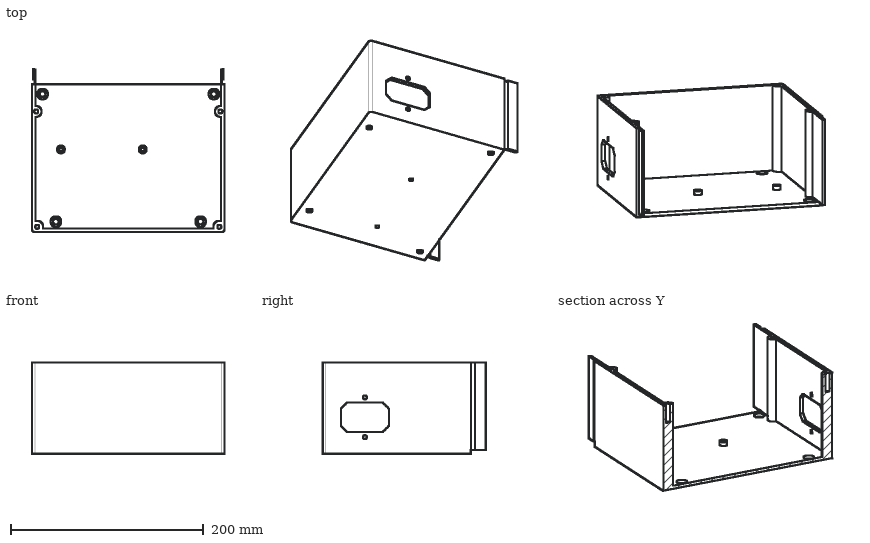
import cadquery as cq

length = 200.0
body_depth = 153.5
height = 95.0
wall = 4.0
floor_thickness = 4.0
corner_radius = 3.2

half_length = length / 2
inner_x = half_length - wall

tongue_length = 15.5
tongue_hook_length = 11.0
tongue_neck_thickness = 1.2
tongue_hook_thickness = 2.5
tongue_hook_slant = 0.5
tongue_base_overlap = 2.0

rear_post_diameter = 11.2
post_hole_diameter = 4.2
post_hole_depth = 20.0
front_post_diameter = 12.5
front_post_inset = 5.5
rear_post_inset = 4.5
rear_post_setback = 28.5
rear_post_y = body_depth - rear_post_setback

mount_hole_diameter = 6.0
countersink_diameter = 11.0
countersink_angle = 90.0
front_mount_inset = 25.0
front_mount_x = half_length - front_mount_inset
front_mount_y = 11.0
rear_mount_inset = 11.2
rear_mount_setback = 10.5
rear_mount_x = half_length - rear_mount_inset
rear_mount_y = body_depth - rear_mount_setback

standoff_diameter = 8.0
standoff_hole_diameter = 4.0
standoff_height = 4.0
standoff_xs = (-69.8, 15.0)
standoff_y = 85.8

socket_y = 43.8
socket_z = 38.0
socket_width = 50.0
socket_height = 30.5
socket_chamfer = 6.5
socket_screw_diameter = 4.0
socket_screw_spacing = 41.2


def make_block():
    """Solid outer form of the box, with rounded front corners."""
    return (
        cq.Workplane("XY")
        .box(length, body_depth, height, centered=(True, False, False))
        .edges("|Z and <Y")
        .fillet(corner_radius)
    )


def make_shell():
    cavity = (
        cq.Workplane("XY", origin=(0, wall, floor_thickness))
        .box(2 * inner_x, body_depth, height, centered=(True, False, False))
    )
    return make_block().cut(cavity)


def make_tongue(side):
    """Hooked tongue flush with the inner face of one side wall; side is -1 or +1."""
    neck_x = inner_x + tongue_neck_thickness
    hook_x = inner_x + tongue_hook_thickness
    tip_y = body_depth + tongue_length
    hook_y = tip_y - tongue_hook_length
    base_y = body_depth - tongue_base_overlap
    outline = [
        (inner_x, base_y),
        (neck_x, base_y),
        (neck_x, hook_y + tongue_hook_slant),
        (hook_x, hook_y),
        (hook_x, tip_y),
        (inner_x, tip_y - tongue_hook_slant),
    ]
    return (
        cq.Workplane("XY", origin=(0, 0, floor_thickness))
        .polyline([(side * x, y) for x, y in outline])
        .close()
        .extrude(height - floor_thickness)
    )


def add_posts(body, points, diameter):
    """Full-height posts, trimmed to the outside of the box, with blind screw holes."""
    posts = cq.Workplane("XY").pushPoints(points).circle(diameter / 2).extrude(height)
    holes = (
        cq.Workplane("XY", origin=(0, 0, height))
        .pushPoints(points)
        .circle(post_hole_diameter / 2)
        .extrude(-post_hole_depth)
    )
    return body.union(posts.intersect(make_block())).cut(holes)


def drill_mounting_holes(body):
    points = [
        (side * x, y)
        for side in (-1, 1)
        for x, y in ((front_mount_x, front_mount_y), (rear_mount_x, rear_mount_y))
    ]
    return (
        body.copyWorkplane(cq.Workplane("XY", origin=(0, 0, floor_thickness)))
        .pushPoints(points)
        .cskHole(mount_hole_diameter, countersink_diameter, countersink_angle)
    )


def add_standoffs(body):
    points = [(x, standoff_y) for x in standoff_xs]
    top = floor_thickness + standoff_height
    layout = cq.Workplane("XY").pushPoints(points)
    standoffs = layout.circle(standoff_diameter / 2).extrude(top)
    holes = layout.circle(standoff_hole_diameter / 2).extrude(top)
    return body.union(standoffs).cut(holes)


def cut_socket(body):
    wall_plane = cq.Workplane("YZ", origin=(inner_x, socket_y, socket_z))
    opening = (
        wall_plane.rect(socket_width, socket_height)
        .extrude(wall)
        .edges("|X")
        .chamfer(socket_chamfer)
    )
    screw_z = socket_screw_spacing / 2
    screws = (
        wall_plane.pushPoints([(0, -screw_z), (0, screw_z)])
        .circle(socket_screw_diameter / 2)
        .extrude(wall)
    )
    return body.cut(opening).cut(screws)


front_post_x = half_length - front_post_inset
rear_post_x = half_length - rear_post_inset
front_post_points = [(-front_post_x, front_post_inset), (front_post_x, front_post_inset)]
rear_post_points = [(-rear_post_x, rear_post_y), (rear_post_x, rear_post_y)]

result = make_shell()
for tongue_side in (-1, 1):
    result = result.union(make_tongue(tongue_side))
result = add_posts(result, front_post_points, front_post_diameter)
result = add_posts(result, rear_post_points, rear_post_diameter)
result = drill_mounting_holes(result)
result = add_standoffs(result)
result = cut_socket(result)